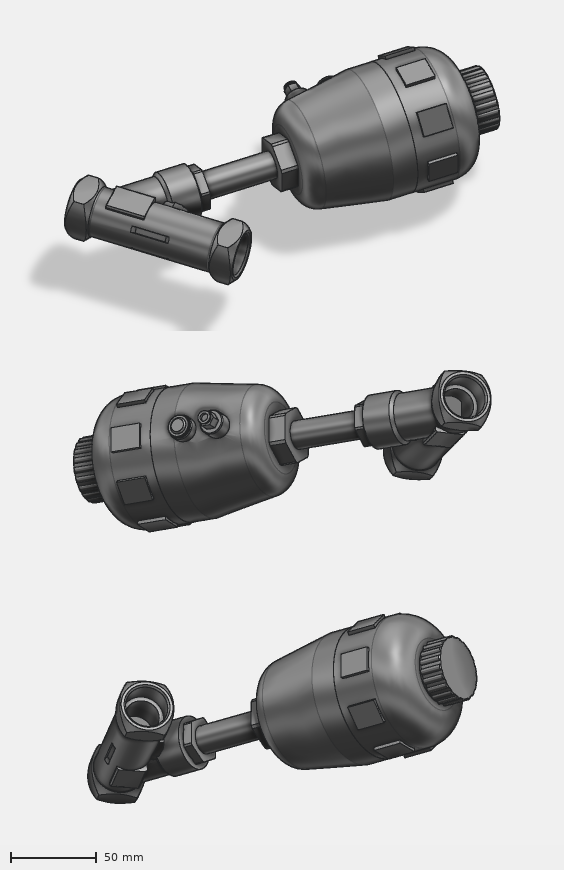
import cadquery as cq
import math

LENGTH = 204.2
BRANCH_ANGLE = 45.0

PIPE_LENGTH = 105.2
PIPE_START = -22.5
PIPE_END = PIPE_START + PIPE_LENGTH
PIPE_MIDDLE = (PIPE_START + PIPE_END) / 2
PIPE_DIA = 30.0
THREAD_DIA = 25.0
THREAD_MOUTH_DIA = 27.2
THREAD_DEPTH = 15.3
BORE_DIA = 20.0

END_LENGTH = 14.7
END_SIZE = 32.0
END_FLAT_WIDTH = 22.5
END_FACE_DIA = 30.6
END_SHOULDER_LENGTH = 1.0

WALL_BOTTOM = -7.1
WALL_STEP = 5.7
WALL_START = 6.1
WALL_STEP_START = 12.3
WALL_END = 45.0

PAD_LENGTH = 24.0
PAD_START = 0.0
PAD_FRONT = -7.1
PAD_BACK = 10.8
PAD_SPAN = 30.6
PAD_CHAMFER = 1.0

POCKET_START = 18.2
POCKET_LENGTH = 23.7
POCKET_WIDTH = 3.9
POCKET_DEPTH = 1.6
POCKET_END_SLOPE = 2.5
POCKET_ANGLE = 34.0

NECK_DIA = 28.2
COLLAR_DIA = 32.0
COLLAR_START = 31.9
COLLAR_CHAMFER = 2.0
COLLAR_END = 51.3

GUSSET_BOTTOM = 8.2
GUSSET_TOP = 17.5
GUSSET_START = 28.5
GUSSET_TAPER_START = 34.3
GUSSET_END = 41.9
GUSSET_HALF_WIDTH = 9.4
GUSSET_TIP_HALF_WIDTH = 4.0

GAP_RING_DIA = 22.5
GAP_RING_LENGTH = 1.2
LOWER_HEX_FLATS = 25.0
LOWER_HEX_END = 58.0
LOWER_HEX_CORNER_DIA = 28.0
STEM_DIA = 17.0
UPPER_HEX_START = 102.0
UPPER_HEX_FLATS = 30.0
UPPER_HEX_CORNER_DIA = 33.5

HOUSING_START = 112.5
HOUSING_DIA = 79.8
FRONT_FACE_RADIUS = 21.2
FRONT_ROUND = 12.0
CONE_END = 162.1
COVER_START = 177.5
COVER_DIA = 80.0
DOME_START = 204.2
DOME_ROUND = 18.4
HOUSING_END = DOME_START + DOME_ROUND

PLATE_COUNT = 8
PLATE_START = 183.8
PLATE_LENGTH = 18.4
PLATE_WIDTH = 15.0
PLATE_SPAN = 83.0

CAP_NECK_DIA = 35.0
CAP_NECK_LENGTH = 1.8
CAP_DIA = 39.0
CAP_CORE_DIA = 36.8
CAP_CHAMFER = 0.8
CAP_REACH = (LENGTH + PIPE_START) / math.cos(math.radians(BRANCH_ANGLE))
CAP_END = CAP_REACH - CAP_DIA / 2 + CAP_CHAMFER
CAP_RIBS = 20
CAP_RIB_DIA = 3.9

BOSS_DIA = 15.0
BOSS_TOP = 43.5
BOSS_CHAMFER = 0.6
BOSS_ROOT = 28.5
FITTING_PLACE = 136.0
PLUG_PLACE = 156.2
FITTING_HEX_FLATS = 8.5
FITTING_HEX_TOP = 50.2
FITTING_TIP_DIA = 8.0
FITTING_GROOVE_DIA = 6.7
FITTING_TIP_TOP = 52.7
FITTING_GROOVE_TOP = 51.7
FITTING_BORE_DIA = 5.0
FITTING_BORE_DEPTH = 2.0
PLUG_DIA = 13.7
PLUG_GROOVE_DIA = 12.3
PLUG_GROOVE_TOP = 44.3
PLUG_RIM_TOP = 45.7
PLUG_TOP = 47.0
PLUG_TIP_DIA = 10.0
PLUG_FACE_DIA = 8.0
PLUG_RIM_CHAMFER = 0.5


def across_corners(flats):
    """Corner-to-corner size of a regular hexagon from its size across flats."""
    return 2 * flats / math.sqrt(3)


def rod(start, end, diameter):
    """Cylinder along X."""
    return cq.Workplane("YZ").workplane(offset=start).circle(diameter / 2).extrude(end - start)


def hexagon(start, end, flats, corner_dia):
    """Hexagonal bar with corners up and down, trimmed by a cylinder."""
    bar = (
        cq.Workplane("YZ").workplane(offset=start)
        .transformed(rotate=(0, 0, 90))
        .polygon(6, across_corners(flats)).extrude(end - start)
    )
    return bar.intersect(rod(start, end, corner_dia))


def onto_branch(shape):
    return shape.rotate((0, 0, 0), (0, 0, 1), BRANCH_ANGLE)


def pipe_end(start):
    """Wrench end with its edges turned off by a cone at both faces."""
    half = END_SIZE / 2
    flat = END_FLAT_WIDTH / 2
    bar = (
        cq.Workplane("YZ").workplane(offset=start)
        .moveTo(-flat, -half).lineTo(flat, -half)
        .threePointArc((half, 0), (flat, half))
        .lineTo(-flat, half)
        .threePointArc((-half, 0), (-flat, -half))
        .close().extrude(END_LENGTH)
    )
    face_radius = END_FACE_DIA / 2
    middle = END_LENGTH / 2
    turned = (
        cq.Workplane("XY")
        .polyline([
            (start, 0),
            (start, face_radius),
            (start + middle, face_radius + middle),
            (start + END_LENGTH, face_radius),
            (start + END_LENGTH, 0),
        ])
        .close().revolve(360, (0, 0, 0), (1, 0, 0))
    )
    return bar.intersect(turned)


def end_shoulders():
    """Short cones from the inner faces of the wrench ends down to the pipe."""
    left_face = PIPE_START + END_LENGTH
    left = (
        cq.Workplane("XY")
        .polyline([
            (left_face, 0),
            (left_face, END_FACE_DIA / 2),
            (left_face + END_SHOULDER_LENGTH, PIPE_DIA / 2),
            (left_face + END_SHOULDER_LENGTH, 0),
        ])
        .close().revolve(360, (0, 0, 0), (1, 0, 0))
    )
    return left.union(left.mirror("YZ", (PIPE_MIDDLE, 0, 0)))


def thread_bore():
    """Threaded bore of the left end, with a chamfered mouth."""
    lip = (THREAD_MOUTH_DIA - THREAD_DIA) / 2
    return (
        cq.Workplane("XY")
        .polyline([
            (PIPE_START, 0),
            (PIPE_START, THREAD_MOUTH_DIA / 2),
            (PIPE_START + lip, THREAD_DIA / 2),
            (PIPE_START + THREAD_DEPTH, THREAD_DIA / 2),
            (PIPE_START + THREAD_DEPTH, 0),
        ])
        .close().revolve(360, (0, 0, 0), (1, 0, 0))
    )


def pipe_bore():
    """Thread at both ends and a bore between them, less the stepped wall inside."""
    wall_top = BORE_DIA / 2
    wall = (
        cq.Workplane("XY").workplane(offset=-BORE_DIA)
        .polyline([
            (WALL_START, WALL_BOTTOM),
            (WALL_END, WALL_BOTTOM),
            (WALL_END, wall_top),
            (WALL_STEP_START, wall_top),
            (WALL_STEP_START, WALL_STEP),
            (WALL_START, WALL_STEP),
        ])
        .close().extrude(2 * BORE_DIA)
    )
    left_thread = thread_bore()
    right_thread = left_thread.mirror("YZ", (PIPE_MIDDLE, 0, 0))
    return rod(PIPE_START, PIPE_END, BORE_DIA).cut(wall).union(left_thread).union(right_thread)


def pocket(angle):
    """Shallow pocket with sloping ends, turned up or down from the front of the pipe."""
    surface = -PIPE_DIA / 2
    end = POCKET_START + POCKET_LENGTH
    outer = surface - POCKET_DEPTH
    floor = surface + POCKET_DEPTH
    tool = (
        cq.Workplane("XY").workplane(offset=-POCKET_WIDTH / 2)
        .polyline([
            (POCKET_START - POCKET_END_SLOPE, outer),
            (end + POCKET_END_SLOPE, outer),
            (end - POCKET_END_SLOPE, floor),
            (POCKET_START + POCKET_END_SLOPE, floor),
        ])
        .close().extrude(POCKET_WIDTH)
    )
    return tool.rotate((0, 0, 0), (1, 0, 0), angle)


def gusset():
    """Flat-topped web, tapering along the pipe."""
    return (
        cq.Workplane("XZ", origin=(0, GUSSET_TOP, 0))
        .polyline([
            (GUSSET_START, -GUSSET_HALF_WIDTH),
            (GUSSET_TAPER_START, -GUSSET_HALF_WIDTH),
            (GUSSET_END, -GUSSET_TIP_HALF_WIDTH),
            (GUSSET_END, GUSSET_TIP_HALF_WIDTH),
            (GUSSET_TAPER_START, GUSSET_HALF_WIDTH),
            (GUSSET_START, GUSSET_HALF_WIDTH),
        ])
        .close().extrude(GUSSET_TOP - GUSSET_BOTTOM)
    )


def branch():
    """Neck with a collar that starts in a cone."""
    outline = (
        cq.Workplane("XY")
        .polyline([
            (0, 0),
            (0, NECK_DIA / 2),
            (COLLAR_START, NECK_DIA / 2),
            (COLLAR_START + COLLAR_CHAMFER, COLLAR_DIA / 2),
            (COLLAR_END, COLLAR_DIA / 2),
            (COLLAR_END, 0),
        ])
        .close()
    )
    return onto_branch(outline.revolve(360, (0, 0, 0), (1, 0, 0)))


def make_valve_body():
    pads = cq.Workplane("XY").box(
        PAD_LENGTH, PAD_BACK - PAD_FRONT, PAD_SPAN, centered=(False, False, True)
    )
    pads = pads.edges("|X").chamfer(PAD_CHAMFER).translate((PAD_START, PAD_FRONT, 0))
    body = rod(PIPE_START, PIPE_END, PIPE_DIA).union(branch()).union(gusset()).union(pads)
    for start in (PIPE_START, PIPE_END - END_LENGTH):
        body = body.union(pipe_end(start))
    body = body.union(end_shoulders())
    for angle in (-POCKET_ANGLE, POCKET_ANGLE):
        body = body.cut(pocket(angle))
    return body.cut(pipe_bore())


def make_bonnet():
    hex_start = COLLAR_END + GAP_RING_LENGTH
    bonnet = (
        rod(COLLAR_END, UPPER_HEX_START, STEM_DIA)
        .union(rod(COLLAR_END, hex_start, GAP_RING_DIA))
        .union(hexagon(hex_start, LOWER_HEX_END, LOWER_HEX_FLATS, LOWER_HEX_CORNER_DIA))
        .union(hexagon(UPPER_HEX_START, HOUSING_START, UPPER_HEX_FLATS, UPPER_HEX_CORNER_DIA))
    )
    return onto_branch(bonnet)


def housing_shell():
    """Turned housing: rounded front, cone, cylinder, cover and domed end."""
    radius = HOUSING_DIA / 2
    cover_radius = COVER_DIA / 2
    round_x = HOUSING_START + FRONT_ROUND
    reach = math.hypot(CONE_END - round_x, radius - FRONT_FACE_RADIUS)
    slope = math.atan2(radius - FRONT_FACE_RADIUS, CONE_END - round_x) - math.asin(FRONT_ROUND / reach)

    def on_round(angle):
        return (round_x - FRONT_ROUND * math.sin(angle), FRONT_FACE_RADIUS + FRONT_ROUND * math.cos(angle))

    dome_radius = cover_radius - DOME_ROUND
    diagonal = DOME_ROUND * math.sqrt(0.5)
    return (
        cq.Workplane("XY")
        .moveTo(HOUSING_START, 0)
        .lineTo(HOUSING_START, FRONT_FACE_RADIUS)
        .threePointArc(on_round((math.pi / 2 + slope) / 2), on_round(slope))
        .lineTo(CONE_END, radius)
        .lineTo(COVER_START, radius)
        .lineTo(COVER_START, cover_radius)
        .lineTo(DOME_START, cover_radius)
        .threePointArc((DOME_START + diagonal, dome_radius + diagonal), (HOUSING_END, dome_radius))
        .lineTo(HOUSING_END, 0)
        .close().revolve(360, (0, 0, 0), (1, 0, 0))
    )


def plates():
    """Bars across the cover whose ends stand out as plates, one on each side."""
    across = cq.Workplane("XY").box(PLATE_LENGTH, PLATE_WIDTH, PLATE_SPAN, centered=(False, True, True))
    across = across.translate((PLATE_START, 0, 0))
    ring = across
    for i in range(1, PLATE_COUNT // 2):
        ring = ring.union(across.rotate((0, 0, 0), (1, 0, 0), i * 360 / PLATE_COUNT))
    return ring


def cap():
    cap_start = HOUSING_END + CAP_NECK_LENGTH
    blank = rod(cap_start, CAP_END, CAP_DIA).faces(">X").chamfer(CAP_CHAMFER)
    ribs = (
        cq.Workplane("YZ").workplane(offset=cap_start)
        .polarArray((CAP_DIA - CAP_RIB_DIA) / 2, 0, 360, CAP_RIBS)
        .circle(CAP_RIB_DIA / 2).extrude(CAP_END - cap_start)
    )
    knob = rod(cap_start, CAP_END, CAP_CORE_DIA).union(ribs).intersect(blank)
    return knob.union(rod(HOUSING_END, cap_start, CAP_NECK_DIA))


def upright(place, start, end, diameter):
    """Cylinder along Y at a place on the actuator axis."""
    return (
        cq.Workplane("XZ", origin=(place, start, 0)).circle(diameter / 2).extrude(start - end)
    )


def boss(place):
    return upright(place, BOSS_ROOT, BOSS_TOP, BOSS_DIA).faces(">Y").chamfer(BOSS_CHAMFER)


def air_fitting():
    hex_bar = (
        cq.Workplane("XZ", origin=(FITTING_PLACE, BOSS_TOP, 0))
        .polygon(6, across_corners(FITTING_HEX_FLATS)).extrude(BOSS_TOP - FITTING_HEX_TOP)
    )
    return (
        boss(FITTING_PLACE)
        .union(hex_bar)
        .union(upright(FITTING_PLACE, FITTING_HEX_TOP, FITTING_GROOVE_TOP, FITTING_GROOVE_DIA))
        .union(upright(FITTING_PLACE, FITTING_GROOVE_TOP, FITTING_TIP_TOP, FITTING_TIP_DIA))
        .cut(upright(FITTING_PLACE, FITTING_TIP_TOP - FITTING_BORE_DEPTH, FITTING_TIP_TOP, FITTING_BORE_DIA))
    )


def air_plug():
    bevel = (PLUG_TIP_DIA - PLUG_FACE_DIA) / 2
    groove = upright(PLUG_PLACE, BOSS_TOP, PLUG_GROOVE_TOP, PLUG_GROOVE_DIA)
    rim = upright(PLUG_PLACE, PLUG_GROOVE_TOP, PLUG_RIM_TOP, PLUG_DIA).faces(">Y").chamfer(PLUG_RIM_CHAMFER)
    tip = upright(PLUG_PLACE, PLUG_RIM_TOP, PLUG_TOP, PLUG_TIP_DIA).faces(">Y").chamfer(bevel)
    return boss(PLUG_PLACE).union(groove).union(rim).union(tip)


def make_actuator():
    actuator = housing_shell().union(plates()).union(cap()).union(air_fitting()).union(air_plug())
    return onto_branch(actuator)


valve_body = make_valve_body().solids()
bonnet = make_bonnet().solids()
actuator = make_actuator().solids()

result = cq.Compound.makeCompound([valve_body.val(), bonnet.val(), actuator.val()])